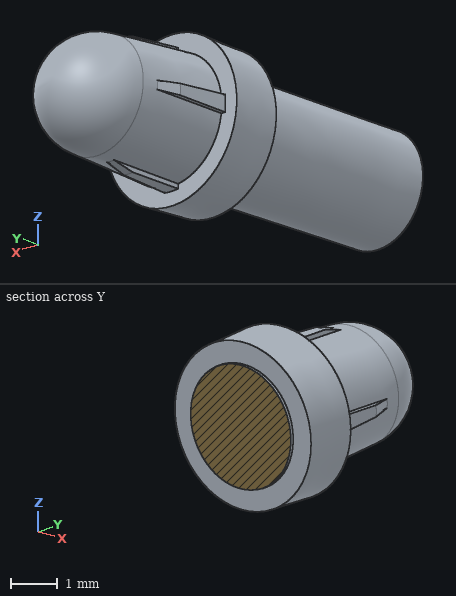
import cadquery as cq
import math


SHAFT_LENGTH = 5.08
COLLAR_LENGTH = 1.27
NOSE_LENGTH = 3.66

SHAFT_END_RADIUS = 1.35
SHAFT_ROOT_RADIUS = 1.40
COLLAR_REAR_RADIUS = 1.895
COLLAR_FRONT_RADIUS = 1.945
NOSE_ROOT_RADIUS = 1.50
DOME_RADIUS = 1.37

RIB_COUNT = 4
RIB_LENGTH = 1.88
RIB_RAMP_LENGTH = 0.55
RIB_ROOT_RADIUS = 1.61
RIB_SHOULDER_RADIUS = 1.545
RIB_ROOT_WIDTH = 0.40
RIB_TIP_WIDTH = 0.21

SHAFT_END_Y = -SHAFT_LENGTH
COLLAR_FRONT_Y = COLLAR_LENGTH
NOSE_TIP_Y = COLLAR_FRONT_Y + NOSE_LENGTH
DOME_BASE_Y = NOSE_TIP_Y - DOME_RADIUS
RIB_TIP_Y = COLLAR_FRONT_Y + RIB_LENGTH
RIB_SHOULDER_Y = RIB_TIP_Y - RIB_RAMP_LENGTH


def nose_radius(y):
    """Radius of the tapered nose at station y."""
    travel = (y - COLLAR_FRONT_Y) / (DOME_BASE_Y - COLLAR_FRONT_Y)
    return NOSE_ROOT_RADIUS + travel * (DOME_RADIUS - NOSE_ROOT_RADIUS)


def revolve_about_y(profile):
    """Turn a closed XY profile through a full circle about the Y axis."""
    return profile.revolve(360, (0, 0, 0), (0, 1, 0))


def make_body():
    """Shaft, collar and domed nose turned as one piece."""
    dome_mid = DOME_RADIUS * math.sqrt(0.5)
    profile = (
        cq.Workplane("XY")
        .moveTo(0, SHAFT_END_Y)
        .lineTo(SHAFT_END_RADIUS, SHAFT_END_Y)
        .lineTo(SHAFT_ROOT_RADIUS, 0)
        .lineTo(COLLAR_REAR_RADIUS, 0)
        .lineTo(COLLAR_FRONT_RADIUS, COLLAR_FRONT_Y)
        .lineTo(NOSE_ROOT_RADIUS, COLLAR_FRONT_Y)
        .lineTo(DOME_RADIUS, DOME_BASE_Y)
        .threePointArc((dome_mid, DOME_BASE_Y + dome_mid), (0, NOSE_TIP_Y))
        .close()
    )
    return revolve_about_y(profile)


def make_rib():
    """One rib on the +X side: conical crest, ramped tip and tapering width."""
    tip_radius = nose_radius(RIB_TIP_Y)
    crest = revolve_about_y(
        cq.Workplane("XY")
        .moveTo(0, COLLAR_FRONT_Y)
        .lineTo(RIB_ROOT_RADIUS, COLLAR_FRONT_Y)
        .lineTo(RIB_SHOULDER_RADIUS, RIB_SHOULDER_Y)
        .lineTo(tip_radius, RIB_TIP_Y)
        .lineTo(0, RIB_TIP_Y)
        .close()
    )
    outline = (
        cq.Workplane("YZ")
        .moveTo(COLLAR_FRONT_Y, -RIB_ROOT_WIDTH / 2)
        .lineTo(RIB_TIP_Y, -RIB_TIP_WIDTH / 2)
        .lineTo(RIB_TIP_Y, RIB_TIP_WIDTH / 2)
        .lineTo(COLLAR_FRONT_Y, RIB_ROOT_WIDTH / 2)
        .close()
        .extrude(COLLAR_FRONT_RADIUS)
    )
    return crest.intersect(outline)


result = make_body()
rib = make_rib()
for index in range(RIB_COUNT):
    angle = index * 360 / RIB_COUNT
    result = result.union(rib.rotate((0, 0, 0), (0, 1, 0), angle))